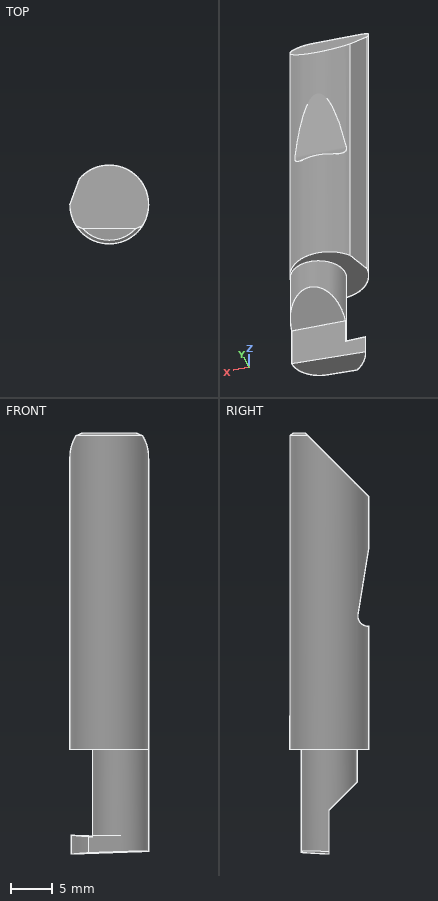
import cadquery as cq
import math

shank_radius = 9.525 / 2
total_length = 50.8
neck_length = 12.6
shank_length = total_length - neck_length

flat_end_y = 3.1
flat_end_x = -math.sqrt(shank_radius**2 - flat_end_y**2)

rim_chamfer_width = 0.45
rim_chamfer_height = 0.35
bevel_start_y = -2.9

notch_bottom_z = 27.5
notch_height = 9.3
notch_ramp_angle = 9.2
notch_end_radius = 1.2

neck_radius = 3.4
neck_center_x = shank_radius - neck_radius
neck_left_x = neck_center_x - neck_radius
neck_runout_z = 5.3

tip_x = -4.6
head_front_y = -neck_radius
head_corner_x = -2.5
facet_start_x = -2.8
facet_start_y = -3.1
side_relief_angle = 15.0
edge_width = 2.3
pad_height = 2.25
relief_slope = math.tan(math.radians(2.0))

margin = 5.0


def extrude_along_x(outline):
    """Prism from a closed (Y, Z) outline, reaching past the shank on both sides in X."""
    reach = shank_radius + margin
    return outline.extrude(2 * reach).translate((-reach, 0, 0))


def make_shank():
    shank = cq.Workplane("XY").workplane(offset=neck_length).circle(shank_radius).extrude(shank_length)
    rim = shank.faces(">Z").edges()
    return rim.chamfer(rim_chamfer_height, rim_chamfer_width)


def side_flat_cutter():
    run_x = flat_end_x + shank_radius
    run_y = flat_end_y
    return (
        cq.Workplane("XY")
        .moveTo(-shank_radius - run_x, -run_y)
        .lineTo(flat_end_x + run_x, flat_end_y + run_y)
        .lineTo(-shank_radius - margin, flat_end_y + run_y)
        .lineTo(-shank_radius - margin, -run_y)
        .close()
        .extrude(total_length + margin)
    )


def bevel_cutter():
    reach = shank_radius + margin - bevel_start_y
    outline = (
        cq.Workplane("YZ")
        .moveTo(bevel_start_y - margin, total_length + margin)
        .lineTo(bevel_start_y + reach, total_length + margin)
        .lineTo(bevel_start_y + reach, total_length - reach)
        .close()
    )
    return extrude_along_x(outline)


def notch_cutter():
    angle = math.radians(notch_ramp_angle)
    center_z = notch_bottom_z + notch_end_radius
    ramp_z = center_z + notch_end_radius * math.sin(angle)
    top_z = notch_bottom_z + notch_height
    ramp_y = shank_radius - (top_z - ramp_z) * math.tan(angle)
    center_y = ramp_y + notch_end_radius * math.cos(angle)
    mid_angle = (math.pi - angle + 1.5 * math.pi) / 2
    outer_y = center_y + margin
    outer_z = ramp_z + (outer_y - ramp_y) / math.tan(angle)
    outline = (
        cq.Workplane("YZ")
        .moveTo(outer_y, outer_z)
        .lineTo(ramp_y, ramp_z)
        .threePointArc(
            (
                center_y + notch_end_radius * math.cos(mid_angle),
                center_z + notch_end_radius * math.sin(mid_angle),
            ),
            (center_y, notch_bottom_z),
        )
        .lineTo(outer_y, notch_bottom_z)
        .close()
    )
    return extrude_along_x(outline)


def make_neck():
    neck = cq.Workplane("XY").center(neck_center_x, 0).circle(neck_radius).extrude(neck_length)
    reach = neck_radius + margin
    run_out = (
        cq.Workplane("YZ")
        .moveTo(0, -margin)
        .lineTo(0, neck_runout_z)
        .lineTo(reach, neck_runout_z + reach)
        .lineTo(reach, -margin)
        .close()
    )
    return neck.cut(extrude_along_x(run_out))


def make_head():
    chord_x = facet_start_x - tip_x
    chord = math.hypot(chord_x, facet_start_y)
    half_sweep = math.atan2(chord_x, -facet_start_y) - math.radians(side_relief_angle)
    sagitta = chord / 2 * math.tan(half_sweep / 2)
    arc_middle = (
        tip_x + chord_x / 2 + sagitta * facet_start_y / chord,
        facet_start_y / 2 - sagitta * chord_x / chord,
    )
    tip = (
        cq.Workplane("XY")
        .moveTo(tip_x, 0)
        .threePointArc(arc_middle, (facet_start_x, facet_start_y))
        .lineTo(head_corner_x, head_front_y)
        .lineTo(neck_left_x, head_front_y)
        .lineTo(neck_left_x, 0)
        .close()
        .extrude(edge_width)
        .cut(relief_cutter(edge_width, 1))
    )
    pad = (
        cq.Workplane("XY")
        .moveTo(neck_left_x, 0)
        .lineTo(neck_left_x, head_front_y)
        .lineTo(neck_center_x, head_front_y)
        .lineTo(neck_center_x, 0)
        .close()
        .extrude(pad_height)
    )
    return tip.union(pad)


def relief_cutter(edge_z, side):
    """Slab above (side 1) or below (side -1) a face that narrows the head away from the tip corner."""
    size = 4 * shank_radius
    x_slope = -side * relief_slope
    normal = (relief_slope, -relief_slope, side)
    plane = cq.Plane(origin=(tip_x, 0, edge_z), xDir=(1, 0, x_slope), normal=normal)
    return cq.Workplane(plane).rect(size, size).extrude(margin)


shank = make_shank().cut(side_flat_cutter()).cut(bevel_cutter()).cut(notch_cutter())
result = shank.union(make_neck()).union(make_head()).cut(relief_cutter(0, -1))